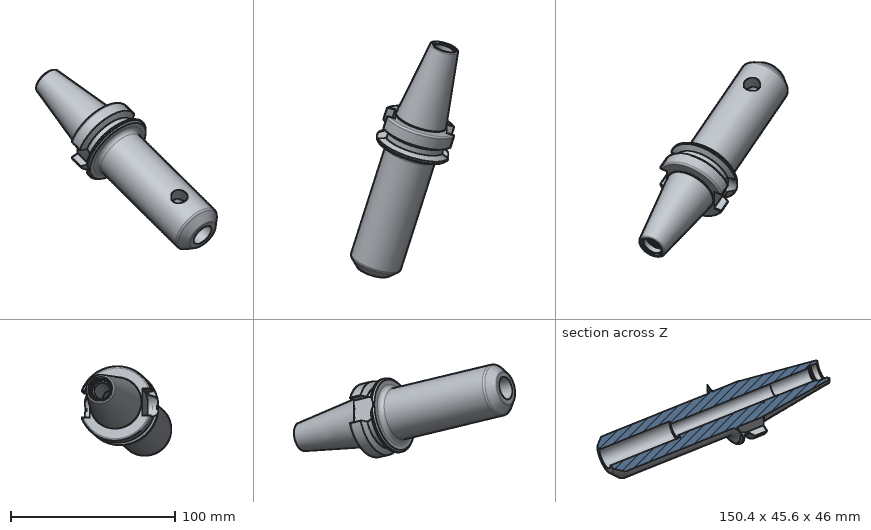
import cadquery as cq
import math


taper_length = 48.4
gauge_diameter = 31.75
taper_ratio = 7 / 24
taper_end_fillet = 0.8

land_diameter = 31.87
land_end = 0.8
neck_diameter = gauge_diameter

flange_diameter = 46.0
flange_front = 1.3
flange_rear = 20.2
flange_front_fillet = 1.2
flange_rear_chamfer = 1.15
groove_diameter = 38.5
groove_centre = 13.75
groove_floor_width = 3.7
groove_half_angle = math.radians(30)

slot_width = 16.1
slot_floor_offset = 16.3
slot_end = 19.58
slot_chamfer = 0.4

body_length = 102.0
shank_diameter = 32.0
shank_root_fillet = 3.0
nose_chamfer = 5.7
nose_shoulder_fillet = 2.0
nose_edge_fillet = 1.0

coolant_diameter = 9.73
thread_diameter = 10.11
thread_depth = 34.0
pilot_diameter = 12.5
pilot_depth = 7.4
pilot_groove_diameter = 12.7
pilot_groove_depth = 5.2
pilot_groove_width = 1.0
mouth_diameter = 13.1
mouth_depth = 1.2
mouth_cone_diameter = 14.9
mouth_cone_depth = 0.7
tool_bore_diameter = 14.0
tool_bore_depth = 48.0

screw_hole_diameter = 10.11
screw_hole_from_nose = 22.5

taper_end = -taper_length
taper_end_radius = (gauge_diameter - taper_length * taper_ratio) / 2


def revolve_about_x(profile):
    return profile.close().revolve(360, (0, 0, 0), (1, 0, 0))


def bore(start, length, diameter):
    return cq.Workplane("YZ", origin=(start, 0, 0)).circle(diameter / 2).extrude(length)


def make_taper():
    land_start = (land_diameter - gauge_diameter) / taper_ratio
    profile = (
        cq.Workplane("XY")
        .moveTo(taper_end, 0)
        .lineTo(taper_end, taper_end_radius)
        .lineTo(land_start, land_diameter / 2)
        .lineTo(land_end, land_diameter / 2)
        .lineTo(land_end, neck_diameter / 2)
        .lineTo(flange_front, neck_diameter / 2)
        .lineTo(flange_front, 0)
    )
    return revolve_about_x(profile).faces("<X").edges().fillet(taper_end_fillet)


def make_flange():
    flange_radius = flange_diameter / 2
    groove_radius = groove_diameter / 2
    half_floor = groove_floor_width / 2
    half_mouth = half_floor + (flange_radius - groove_radius) * math.tan(groove_half_angle)
    arc_offset = flange_front_fillet * (1 - math.sqrt(0.5))
    profile = (
        cq.Workplane("XY")
        .moveTo(flange_front, 0)
        .lineTo(flange_front, flange_radius - flange_front_fillet)
        .threePointArc(
            (flange_front + arc_offset, flange_radius - arc_offset),
            (flange_front + flange_front_fillet, flange_radius),
        )
        .lineTo(groove_centre - half_mouth, flange_radius)
        .lineTo(groove_centre - half_floor, groove_radius)
        .lineTo(groove_centre + half_floor, groove_radius)
        .lineTo(groove_centre + half_mouth, flange_radius)
        .lineTo(flange_rear - flange_rear_chamfer, flange_radius)
        .lineTo(flange_rear, flange_radius - flange_rear_chamfer)
        .lineTo(flange_rear, 0)
    )
    return revolve_about_x(profile)


def make_shank():
    shank = bore(flange_rear, body_length - flange_rear, shank_diameter)
    shank = shank.faces(">X").chamfer(nose_chamfer)
    shank = shank.faces(">X").edges().fillet(nose_edge_fillet)
    shoulder_x = body_length - nose_chamfer
    selection_margin = nose_chamfer / 4
    shoulder = cq.selectors.BoxSelector(
        (shoulder_x - selection_margin, -shank_diameter, -shank_diameter),
        (shoulder_x + selection_margin, shank_diameter, shank_diameter),
    )
    shank = shank.edges(shoulder).fillet(nose_shoulder_fillet)
    r = shank_root_fillet
    arc_offset = r * (1 - math.sqrt(0.5))
    root = (
        cq.Workplane("XY")
        .moveTo(flange_rear, 0)
        .lineTo(flange_rear, shank_diameter / 2 + r)
        .threePointArc(
            (flange_rear + arc_offset, shank_diameter / 2 + arc_offset),
            (flange_rear + r, shank_diameter / 2),
        )
        .lineTo(flange_rear + r, 0)
    )
    return shank.union(revolve_about_x(root))


def make_drive_slot():
    """Round-ended slot on the -Y side, with its flange edges chamfered."""
    half_width = slot_width / 2
    end_centre = slot_end - half_width
    outline = (
        cq.Workplane("XZ", origin=(0, -slot_floor_offset, 0))
        .moveTo(0, half_width + slot_chamfer + flange_front)
        .lineTo(flange_front + slot_chamfer, half_width)
        .lineTo(end_centre, half_width)
        .threePointArc((slot_end, 0), (end_centre, -half_width))
        .lineTo(flange_front + slot_chamfer, -half_width)
        .lineTo(0, -half_width - slot_chamfer - flange_front)
        .close()
    )
    slot = outline.extrude(flange_diameter / 2 - slot_floor_offset)
    rim = math.sqrt((flange_diameter / 2) ** 2 - half_width**2)
    bevel_start = rim - slot_chamfer
    bevel_rise = flange_diameter / 2 - bevel_start
    bevels = (
        cq.Workplane("YZ")
        .moveTo(-bevel_start, half_width)
        .lineTo(-bevel_start - bevel_rise, half_width + bevel_rise)
        .lineTo(-bevel_start - bevel_rise, -half_width - bevel_rise)
        .lineTo(-bevel_start, -half_width)
        .close()
        .extrude(groove_centre - groove_floor_width / 2)
    )
    return slot.union(bevels)


def make_axial_bores():
    bores = bore(taper_end, taper_length + body_length, coolant_diameter)
    bores = bores.union(bore(taper_end, thread_depth, thread_diameter))
    bores = bores.union(bore(taper_end + pilot_groove_depth, pilot_groove_width, pilot_groove_diameter))
    bores = bores.union(bore(taper_end, pilot_depth, pilot_diameter))
    bores = bores.union(bore(taper_end, mouth_depth, mouth_diameter))
    mouth_cone = cq.Solid.makeCone(
        mouth_cone_diameter / 2,
        mouth_diameter / 2,
        mouth_cone_depth,
        pnt=cq.Vector(taper_end, 0, 0),
        dir=cq.Vector(1, 0, 0),
    )
    bores = bores.union(cq.Workplane(mouth_cone))
    return bores.union(bore(body_length - tool_bore_depth, tool_bore_depth, tool_bore_diameter))


def make_screw_hole():
    return (
        cq.Workplane("XY")
        .center(body_length - screw_hole_from_nose, 0)
        .circle(screw_hole_diameter / 2)
        .extrude(shank_diameter)
    )


holder = make_taper().union(make_flange()).union(make_shank())
drive_slot = make_drive_slot()
holder = holder.cut(drive_slot).cut(drive_slot.mirror("XZ"))
holder = holder.cut(make_axial_bores())
result = holder.cut(make_screw_hole())